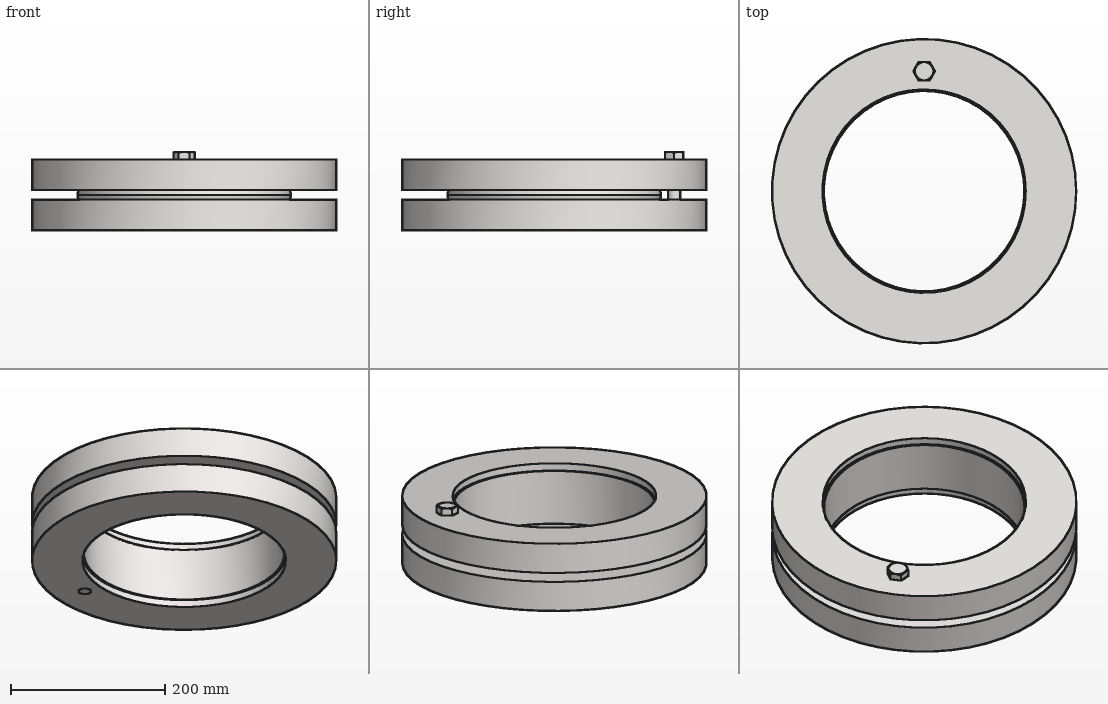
import cadquery as cq
import math

flange_diameter = 395.0
flange_thickness = 40.0
flange_gap = 12.2
lip_bore_diameter = 264.0
lip_depth = 10.0

seal_bore_diameter = 260.0
seal_crest_diameter = 277.5

bolt_offset = 155.5
shank_diameter = 16.0
head_across_flats = 24.0
head_height = 10.0
head_chamfer_angle = 30.0

stack_height = 2 * flange_thickness + flange_gap
middle_level = stack_height / 2
upper_flange_level = flange_thickness + flange_gap
seal_bottom = lip_depth
seal_top = stack_height - lip_depth
head_top = stack_height + head_height


def vertical_cylinder(diameter, bottom, top, center_y=0.0):
    """Solid cylinder about a vertical axis at X = 0."""
    return (
        cq.Workplane("XY", origin=(0, center_y, bottom))
        .circle(diameter / 2)
        .extrude(top - bottom)
    )


def double_cone():
    """Solid double cone, widest halfway up the stack, that fills the seal seats."""
    end_radius = lip_bore_diameter / 2
    return (
        cq.Workplane("XZ")
        .moveTo(0, seal_bottom)
        .lineTo(end_radius, seal_bottom)
        .lineTo(seal_crest_diameter / 2, middle_level)
        .lineTo(end_radius, seal_top)
        .lineTo(0, seal_top)
        .close()
        .revolve(360, (0, 0, 0), (0, 1, 0))
    )


def flange(bottom):
    """Flat ring with a conical seal seat, an end lip and a bolt hole."""
    top = bottom + flange_thickness
    disc = vertical_cylinder(flange_diameter, bottom, top)
    bore = vertical_cylinder(lip_bore_diameter, bottom, top)
    bolt_hole = vertical_cylinder(shank_diameter, bottom, top, bolt_offset)
    return disc.cut(bore).cut(double_cone()).cut(bolt_hole)


def seal_ring():
    """Double-cone ring seated in both flanges."""
    bore = vertical_cylinder(seal_bore_diameter, seal_bottom, seal_top)
    return double_cone().cut(bore)


def bolt_head():
    """Hexagonal head with its top corners chamfered by a cone."""
    corner_diameter = head_across_flats / math.cos(math.radians(30))
    corner_radius = corner_diameter / 2
    flat_radius = head_across_flats / 2
    chamfer_drop = (corner_radius - flat_radius) * math.tan(math.radians(head_chamfer_angle))
    hexagon = (
        cq.Workplane("XY", origin=(0, bolt_offset, stack_height))
        .polygon(6, corner_diameter)
        .extrude(head_height)
    )
    chamfered_envelope = (
        cq.Workplane("XZ", origin=(0, bolt_offset, stack_height))
        .lineTo(corner_radius, 0)
        .lineTo(corner_radius, head_height - chamfer_drop)
        .lineTo(flat_radius, head_height)
        .lineTo(0, head_height)
        .close()
        .revolve(360, (0, 0, 0), (0, 1, 0))
    )
    return hexagon.intersect(chamfered_envelope)


def bolt():
    """Hexagon bolt whose shank ends flush with the lower flange."""
    shank = vertical_cylinder(shank_diameter, 0, head_top - head_height / 2, bolt_offset)
    return bolt_head().union(shank)


flanges = [flange(bottom).val() for bottom in (0, upper_flange_level)]
result = cq.Compound.makeCompound([*flanges, seal_ring().val(), bolt().val()])